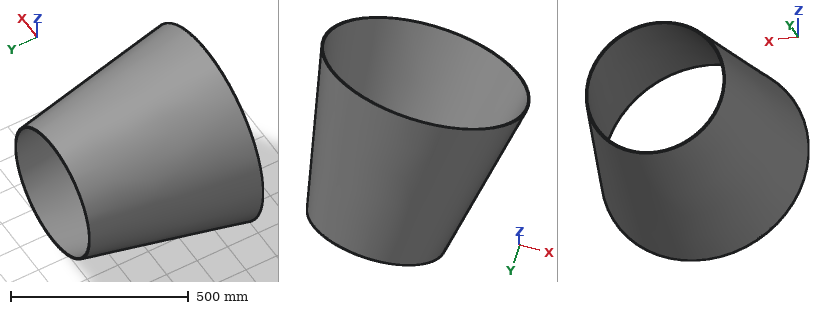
import cadquery as cq

large_diameter = 608.0
small_diameter = 406.0
length = 508.0
wall = 4.0

large_radius = large_diameter / 2
small_radius = small_diameter / 2

wall_section = (
    cq.Workplane("XY")
    .moveTo(large_radius, 0)
    .lineTo(small_radius, length)
    .lineTo(small_radius - wall, length)
    .lineTo(large_radius - wall, 0)
    .close()
)

result = wall_section.revolve(360, (0, 0, 0), (0, 1, 0))